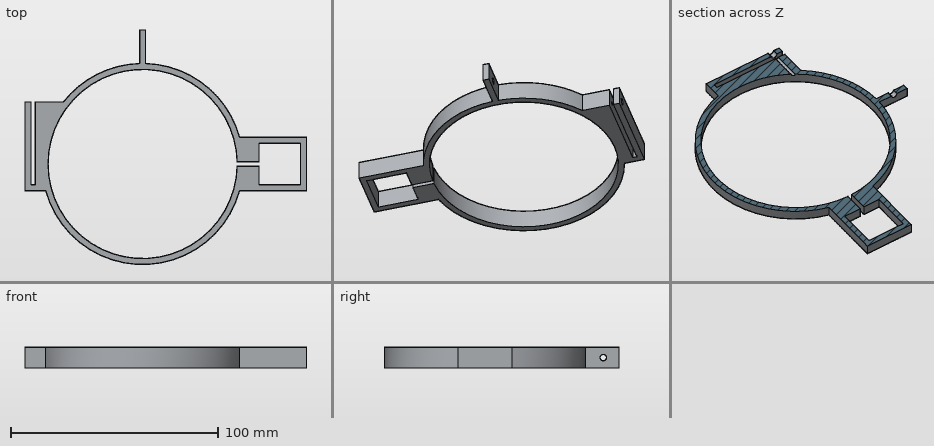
import cadquery as cq

length = 136.0
height = 10.0
wall = 3.0

ring_outer_radius = 48.5
ring_inner_radius = ring_outer_radius - wall

block_left = -56.8
block_top = 29.9
slot_width = 2.0

window_size = 20.0
frame_width = window_size + 2 * wall
frame_right = block_left + length
window_right = frame_right - wall
gap_width = 2.0

block_bottom = -frame_width / 2

tab_end = 64.7
tab_hole_from_end = 7.6

clearance_diameter = 3.0
pilot_diameter = 1.5
screw_from_block_top = 4.8


def bar(x_min, x_max, y_min, y_max):
    """Full-height box between the given limits, centred on Z = 0."""
    size_x = x_max - x_min
    size_y = y_max - y_min
    centre = (x_min + size_x / 2, y_min + size_y / 2, 0)
    return cq.Workplane("XY").box(size_x, size_y, height).translate(centre)


def hole_along_x(diameter, x_min, x_max, y):
    """Cylinder along X at mid-height."""
    origin = (x_min, y, 0)
    return cq.Workplane("YZ", origin=origin).circle(diameter / 2).extrude(x_max - x_min)


def disc(radius):
    """Full-height disc on the ring axis."""
    return cq.Workplane("XY").circle(radius).extrude(height / 2, both=True)


body = disc(ring_outer_radius)
body = body.union(bar(block_left, 0, block_bottom, block_top))
body = body.union(bar(0, frame_right, -frame_width / 2, frame_width / 2))
body = body.union(bar(-wall / 2, wall / 2, 0, tab_end))
body = body.cut(disc(ring_inner_radius))

slot_left = block_left + wall
slot_right = slot_left + slot_width
body = body.cut(bar(slot_left, slot_right, block_bottom + wall, block_top))

window_left = window_right - window_size
body = body.cut(bar(window_left, window_right, -window_size / 2, window_size / 2))
body = body.cut(bar(0, window_left, -gap_width / 2, gap_width / 2))

body = body.cut(hole_along_x(clearance_diameter, -wall, wall, tab_end - tab_hole_from_end))

screw_y = block_top - screw_from_block_top
body = body.cut(hole_along_x(clearance_diameter, block_left, slot_left, screw_y))
body = body.cut(hole_along_x(pilot_diameter, slot_right, 0, screw_y))

result = body